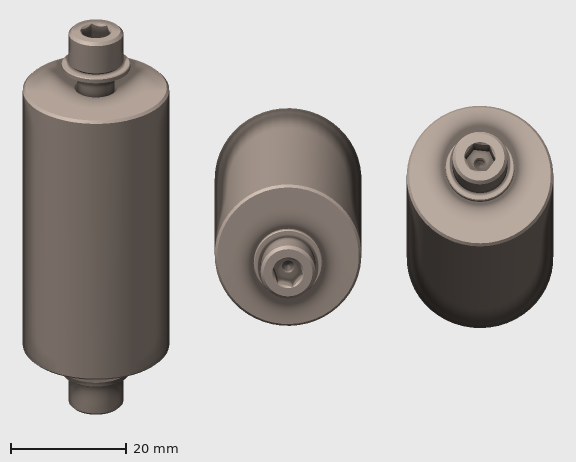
import cadquery as cq
import math

total_length = 73.0

body_diameter = 25.4
body_length = 50.8
body_chamfer = 0.45
mouth_diameter = 7.45

shank_diameter = 6.4

washer_diameter = 11.9
washer_thickness = 0.9
washer_chamfer = 0.15

head_diameter = 9.5
head_height = 6.3
head_top_chamfer = 0.5
head_seat_chamfer = 0.45

hex_across_flats = 4.75
hex_depth = 4.0
pit_mouth_diameter = 2.2
pit_diameter = 1.6
pit_depth = 0.7
pit_tip_angle = 118.0

overlap = 0.7

half_length = total_length / 2
body_end = body_length / 2
mouth_depth = (mouth_diameter - shank_diameter) / 2
hex_across_corners = hex_across_flats * 2 / math.sqrt(3)
hex_lead_depth = (hex_across_corners - hex_across_flats) / 2
head_seat = half_length - head_height
hex_floor = half_length - hex_depth
pit_mouth_depth = (pit_mouth_diameter - pit_diameter) / 2


def cylinder(diameter, bottom, height):
    return cq.Workplane("XY").workplane(offset=bottom).circle(diameter / 2).extrude(height)


def cone(bottom, top, bottom_diameter, top_diameter):
    """Solid cone on the Z axis between two heights."""
    height = top - bottom
    solid = cq.Solid.makeCone(
        bottom_diameter / 2, top_diameter / 2, height, cq.Vector(0, 0, bottom)
    )
    return cq.Workplane(obj=solid)


def make_body():
    """Chamfered cylinder with a countersunk mouth around the shank at each end."""
    body = cylinder(body_diameter, -body_end, body_length).edges().chamfer(body_chamfer)
    mouth = cone(body_end - mouth_depth, body_end, shank_diameter, mouth_diameter)
    return body.cut(mouth).cut(mouth.mirror("XY"))


def make_socket():
    """Hexagonal socket with a conical lead-in and a countersunk drill pit in its floor."""
    hexagon = (
        cq.Workplane("XY")
        .workplane(offset=hex_floor)
        .transformed(rotate=(0, 0, 90))
        .polygon(6, hex_across_corners)
        .extrude(hex_depth)
    )
    lead_in = cone(half_length - hex_lead_depth, half_length, hex_across_flats, hex_across_corners)
    pit_bottom = hex_floor - pit_depth
    tip_height = pit_diameter / 2 / math.tan(math.radians(pit_tip_angle / 2))
    pit = cylinder(pit_diameter, pit_bottom, pit_depth)
    pit_mouth = cone(hex_floor - pit_mouth_depth, hex_floor, pit_diameter, pit_mouth_diameter)
    pit_tip = cone(pit_bottom - tip_height, pit_bottom, 0, pit_diameter)
    return hexagon.union(lead_in).union(pit).union(pit_mouth).union(pit_tip)


def make_screw():
    """Shank, washer and socket head of the upper screw."""
    shank_bottom = body_end - mouth_depth - overlap
    shank = cylinder(shank_diameter, shank_bottom, head_seat - shank_bottom)
    washer = cylinder(washer_diameter, head_seat - washer_thickness, washer_thickness)
    washer = washer.faces(">Z").chamfer(washer_chamfer)
    head = cylinder(head_diameter, head_seat, head_height)
    head = head.faces(">Z").chamfer(head_top_chamfer)
    head = head.faces("<Z").chamfer(head_seat_chamfer)
    return shank.union(washer).union(head).cut(make_socket())


upper_screw = make_screw()
lower_screw = upper_screw.mirror("XY")
result = make_body().union(upper_screw).union(lower_screw)